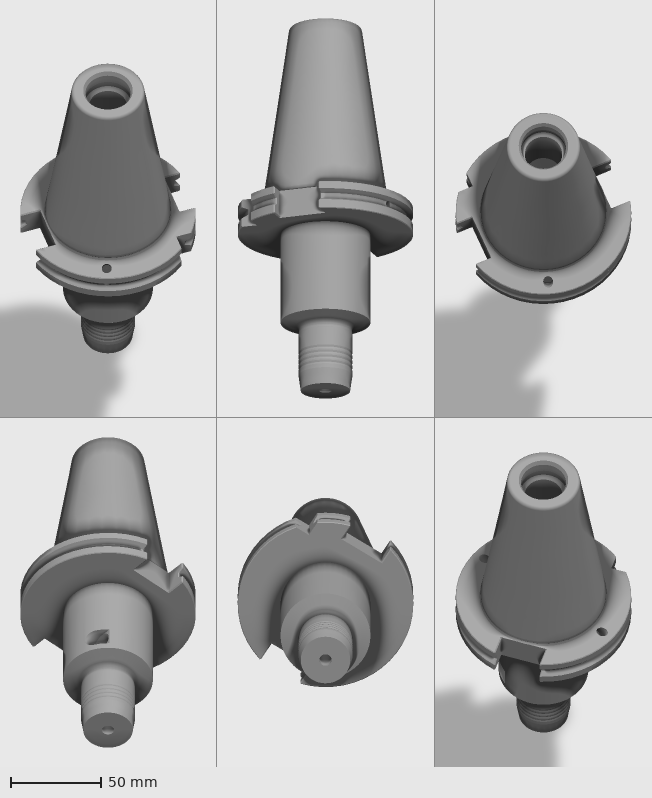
import cadquery as cq
import math

TOTAL_LENGTH = 211.5
GAUGE_Z = 110.0
TAPER_RATIO = 7 / 24

TOLERANCE = 0.02

GAUGE_R = 35.0
TAPER_TOP_R = GAUGE_R - (TOTAL_LENGTH - GAUGE_Z) * TAPER_RATIO / 2
TAPER_TOP_ROUND = 2.0
RELIEF_R = 34.5
RELIEF_FOOT_R = 35.5
RELIEF_H = 1.5
RELIEF_FLOOR_H = 0.8

FLANGE_DIA = 97.5
FLANGE_R = FLANGE_DIA / 2
FLANGE_GAP = 3.2
FLANGE_TOP_Z = GAUGE_Z - FLANGE_GAP
FLANGE_H = 15.9
FLANGE_BOTTOM_Z = FLANGE_TOP_Z - FLANGE_H
FLANGE_CHAMFER = 0.5
GROOVE_Z = 99.2
GROOVE_FLOOR_R = 45.7
GROOVE_FLOOR_W = 3.0
GROOVE_SIDE = math.radians(30)
GROOVE_MOUTH_W = GROOVE_FLOOR_W + 2 * (FLANGE_R - GROOVE_FLOOR_R) * math.tan(GROOVE_SIDE)

SLOT_W = 25.8
SLOT_CHAMFER = 0.6
SLOT_CORNER_R = 0.6
BACK_SLOT_FLOOR = 37.5
FRONT_SLOT_FLOOR = 35.3
NOTCH_POS = 29.8

COOLANT_ANGLES = (160, 340)
COOLANT_R = 41.5
COOLANT_DIA = 5.5
COOLANT_TILT = 35
COOLANT_DEPTH = 8.5
PLUG_DIA = 3.8

COLLAR_R = 25.0
COLLAR_BOTTOM_Z = 39.8
SHOULDER_R = 16.7
SHOULDER_SLOPE = 16
SHOULDER_Z = COLLAR_BOTTOM_Z - (COLLAR_R - SHOULDER_R) * math.tan(math.radians(SHOULDER_SLOPE))

NOSE_R = 15.0
NOSE_TIP_R = 13.8
NOSE_TAPER_Z = 8.9
NECK_R = 14.8
NECK_TOP_Z = 35.0
NECK_BOTTOM_Z = 34.3
NECK_END_Z = 33.0
RING_COUNT = 4
RING_TOP_Z = 22.2
RING_PITCH = 3.0
RING_W = 2.1
RING_DEPTH = 0.32

MOUTH_R = 13.8
PILOT_R = 12.5
MOUTH_SIDE = math.radians(30)
MOUTH_DEPTH = (MOUTH_R - PILOT_R) / math.tan(MOUTH_SIDE)
PILOT_DEPTH = 7.6
ENTRY_R = 12.7
ENTRY_DEPTH = 11.5
THREAD_R = 10.4
LEAD_IN_DEPTH = 13.0
THREAD_DEPTH = 46.5
COOLANT_BORE_R = 3.4
DRILL_POINT = 118

POCKET_Y = -12.7
POCKET_Z = 48.9
POCKET_W = 11.0
POCKET_FLOOR_X = -16.3
POCKET_POINT = 90


def turned_body():
    """Solid of revolution: taper, flange, collar and nose."""
    c = FLANGE_CHAMFER
    blend = math.sin(math.radians(45))
    outline = (
        cq.Workplane("XZ")
        .moveTo(0, 0)
        .lineTo(NOSE_TIP_R, 0)
        .lineTo(NOSE_R, NOSE_TAPER_Z)
        .lineTo(NOSE_R, NECK_END_Z)
        .lineTo(NECK_R, NECK_BOTTOM_Z)
        .lineTo(NECK_R, NECK_TOP_Z)
        .threePointArc(
            (SHOULDER_R - blend * (SHOULDER_R - NECK_R), NECK_TOP_Z + blend * (SHOULDER_Z - NECK_TOP_Z)),
            (SHOULDER_R, SHOULDER_Z),
        )
        .lineTo(COLLAR_R, COLLAR_BOTTOM_Z)
        .lineTo(COLLAR_R, FLANGE_BOTTOM_Z)
        .lineTo(FLANGE_R - c, FLANGE_BOTTOM_Z)
        .lineTo(FLANGE_R, FLANGE_BOTTOM_Z + c)
        .lineTo(FLANGE_R, GROOVE_Z - GROOVE_MOUTH_W / 2)
        .lineTo(GROOVE_FLOOR_R, GROOVE_Z - GROOVE_FLOOR_W / 2)
        .lineTo(GROOVE_FLOOR_R, GROOVE_Z + GROOVE_FLOOR_W / 2)
        .lineTo(FLANGE_R, GROOVE_Z + GROOVE_MOUTH_W / 2)
        .lineTo(FLANGE_R, FLANGE_TOP_Z - c)
        .lineTo(FLANGE_R - c, FLANGE_TOP_Z)
        .lineTo(RELIEF_FOOT_R, FLANGE_TOP_Z)
        .lineTo(RELIEF_R, FLANGE_TOP_Z + RELIEF_FLOOR_H)
        .lineTo(GAUGE_R, FLANGE_TOP_Z + RELIEF_H)
        .lineTo(GAUGE_R, GAUGE_Z)
        .lineTo(TAPER_TOP_R, TOTAL_LENGTH)
        .lineTo(0, TOTAL_LENGTH)
        .close()
    )
    body = outline.revolve(360, (0, 0, 0), (0, 1, 0))
    return body.faces(">Z").edges().fillet(TAPER_TOP_ROUND)


def ring_grooves():
    """V grooves around the nose."""
    cutter = cq.Workplane("XY")
    for i in range(RING_COUNT):
        top = RING_TOP_Z - i * RING_PITCH
        ring = (
            cq.Workplane("XZ")
            .moveTo(NOSE_R, top)
            .lineTo(NOSE_R - RING_DEPTH, top - RING_W / 2)
            .lineTo(NOSE_R, top - RING_W)
            .close()
            .revolve(360, (0, 0, 0), (0, 1, 0))
        )
        cutter = cutter.add(ring)
    return cutter.combine()


def flange_block(x_min, x_max, y_min, y_max):
    """Box over the full flange height."""
    return (
        cq.Workplane("XY", origin=(0, 0, FLANGE_BOTTOM_Z))
        .moveTo(x_min, y_min)
        .lineTo(x_max, y_min)
        .lineTo(x_max, y_max)
        .lineTo(x_min, y_max)
        .close()
        .extrude(FLANGE_H)
    )


def cut_slots(body):
    """Two drive slots with chamfered walls and rounded floor corners, and the corner notch."""
    half = SLOT_W / 2
    body = body.cut(flange_block(-half, half, BACK_SLOT_FLOOR, FLANGE_R))
    body = body.cut(flange_block(-half, half, -FLANGE_R, -FRONT_SLOT_FLOOR))
    wall_edges = []
    for wall in body.faces("|X").vals():
        if abs(abs(wall.Center().x) - half) > TOLERANCE:
            continue
        inner_y = min(abs(e.Center().y) for e in wall.Edges())
        wall_edges += [e for e in wall.Edges() if abs(e.Center().y) > inner_y + TOLERANCE]
    body = body.newObject(wall_edges).chamfer(SLOT_CHAMFER)
    corners = []
    for edge in body.edges("|Z").vals():
        c = edge.Center()
        on_floor = min(abs(c.y - BACK_SLOT_FLOOR), abs(c.y + FRONT_SLOT_FLOOR)) < TOLERANCE
        if on_floor and abs(abs(c.x) - half) < TOLERANCE:
            corners.append(edge)
    body = body.newObject(corners).fillet(SLOT_CORNER_R)
    return body.cut(flange_block(NOTCH_POS, FLANGE_R, NOTCH_POS, FLANGE_R))


def coolant_hole(angle):
    """Inclined hole in the flange top, met by a radial hole from the V groove."""
    tilt = math.radians(COOLANT_TILT)
    axis = cq.Vector(-math.sin(tilt), 0, -math.cos(tilt))
    lead = COOLANT_DIA
    mouth = cq.Vector(COOLANT_R, 0, FLANGE_TOP_Z)
    inclined = cq.Solid.makeCylinder(COOLANT_DIA / 2, lead + COOLANT_DEPTH, mouth - axis * lead, axis)
    plug_length = FLANGE_R - COOLANT_R + COOLANT_DIA / 2
    plug_start = cq.Vector(FLANGE_R, 0, GROOVE_Z)
    plug = cq.Solid.makeCylinder(PLUG_DIA / 2, plug_length, plug_start, cq.Vector(-1, 0, 0))
    both = cq.Workplane(inclined).union(cq.Workplane(plug))
    return both.rotate((0, 0, 0), (0, 0, 1), angle)


def central_bore():
    """Flared mouth, pilot, thread core with drill point, and through coolant bore."""
    point_h = (THREAD_R - COOLANT_BORE_R) / math.tan(math.radians(DRILL_POINT / 2))
    thread_z = TOTAL_LENGTH - THREAD_DEPTH
    return (
        cq.Workplane("XZ")
        .moveTo(0, 0)
        .lineTo(COOLANT_BORE_R, 0)
        .lineTo(COOLANT_BORE_R, thread_z - point_h)
        .lineTo(THREAD_R, thread_z)
        .lineTo(THREAD_R, TOTAL_LENGTH - LEAD_IN_DEPTH)
        .lineTo(ENTRY_R, TOTAL_LENGTH - ENTRY_DEPTH)
        .lineTo(ENTRY_R, TOTAL_LENGTH - PILOT_DEPTH)
        .lineTo(PILOT_R, TOTAL_LENGTH - PILOT_DEPTH)
        .lineTo(PILOT_R, TOTAL_LENGTH - MOUTH_DEPTH)
        .lineTo(MOUTH_R, TOTAL_LENGTH)
        .lineTo(0, TOTAL_LENGTH)
        .close()
        .revolve(360, (0, 0, 0), (0, 1, 0))
    )


def side_pocket():
    """Flat pocket with one round end, open to -Y, and a drill point in its floor."""
    r = POCKET_W / 2
    depth = COLLAR_R + POCKET_FLOOR_X
    pocket = (
        cq.Workplane("YZ", origin=(POCKET_FLOOR_X, 0, 0))
        .moveTo(-COLLAR_R, POCKET_Z + r)
        .lineTo(POCKET_Y, POCKET_Z + r)
        .threePointArc((POCKET_Y + r, POCKET_Z), (POCKET_Y, POCKET_Z - r))
        .lineTo(-COLLAR_R, POCKET_Z - r)
        .close()
        .extrude(-depth)
    )
    point_h = r / math.tan(math.radians(POCKET_POINT / 2))
    floor_center = cq.Vector(POCKET_FLOOR_X, POCKET_Y, POCKET_Z)
    point = cq.Solid.makeCone(r, 0, point_h, floor_center, cq.Vector(1, 0, 0))
    return pocket.union(cq.Workplane(point))


result = cut_slots(turned_body())
result = result.cut(ring_grooves())
result = result.cut(central_bore())
result = result.cut(side_pocket())
for angle in COOLANT_ANGLES:
    result = result.cut(coolant_hole(angle))